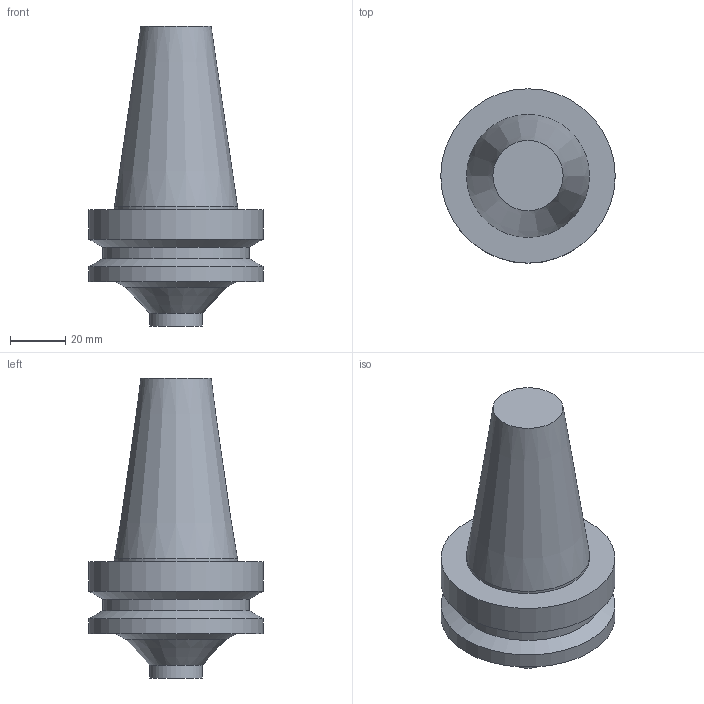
import cadquery as cq
import math

gauge_diameter = 44.45
taper_length = 65.4
taper_rate = 7 / 24
taper_tip_diameter = gauge_diameter - taper_rate * taper_length
gauge_land_height = 1.0

flange_diameter = 63.0
flange_bottom_depth = 27.0
groove_diameter = 53.0
groove_floor_width = 4.2
groove_center_depth = 16.6
groove_flank_angle = 30.0

nose_top_diameter = 43.5
nose_shoulder_diameter = 36.6
nose_shoulder_depth = 29.0
pilot_diameter = 19.0
pilot_top_depth = 38.4
pilot_bottom_depth = 43.0

groove_depth = (flange_diameter - groove_diameter) / 2
groove_flank_height = groove_depth * math.tan(math.radians(groove_flank_angle))
groove_floor_top = groove_center_depth - groove_floor_width / 2
groove_floor_bottom = groove_center_depth + groove_floor_width / 2


def revolved_profile(sections):
    """Revolve straight-sided (diameter, height) sections about the Z axis."""
    top_height = sections[0][1]
    bottom_height = sections[-1][1]
    outline = [(diameter / 2, height) for diameter, height in sections]
    points = [(0, top_height)] + outline + [(0, bottom_height)]
    return cq.Workplane("XZ").polyline(points).close().revolve(360, (0, 0, 0), (0, 1, 0))


shank_sections = [
    (taper_tip_diameter, taper_length),
    (gauge_diameter, 0),
    (gauge_diameter, -gauge_land_height),
]

flange_sections = [
    (flange_diameter, -gauge_land_height),
    (flange_diameter, -(groove_floor_top - groove_flank_height)),
    (groove_diameter, -groove_floor_top),
    (groove_diameter, -groove_floor_bottom),
    (flange_diameter, -(groove_floor_bottom + groove_flank_height)),
    (flange_diameter, -flange_bottom_depth),
]

nose_sections = [
    (nose_top_diameter, -flange_bottom_depth),
    (nose_shoulder_diameter, -nose_shoulder_depth),
    (pilot_diameter, -pilot_top_depth),
    (pilot_diameter, -pilot_bottom_depth),
]

result = revolved_profile(shank_sections + flange_sections + nose_sections)